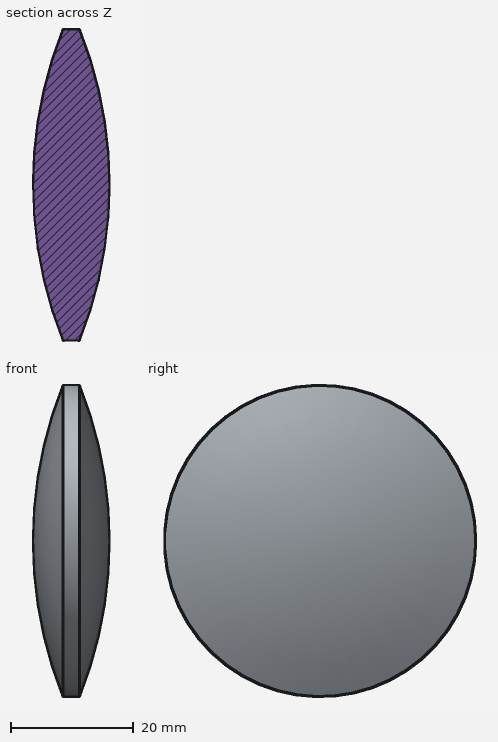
import cadquery as cq

diameter = 50.8
center_thickness = 12.5
edge_thickness = 2.5
bevel = 0.15

rim_radius = diameter / 2
half_center = center_thickness / 2
half_edge = edge_thickness / 2
face_radius = rim_radius - bevel
half_face = half_edge + bevel

sagitta = half_center - half_face
sphere_radius = (face_radius**2 + sagitta**2) / (2 * sagitta)
mid_height = face_radius / 2
mid_x = half_center - sphere_radius + (sphere_radius**2 - mid_height**2) ** 0.5

half_section = (
    cq.Workplane("XY")
    .moveTo(-half_center, 0)
    .threePointArc((-mid_x, mid_height), (-half_face, face_radius))
    .lineTo(-half_edge, rim_radius)
    .lineTo(half_edge, rim_radius)
    .lineTo(half_face, face_radius)
    .threePointArc((mid_x, mid_height), (half_center, 0))
    .close()
)

result = half_section.revolve(360, (0, 0, 0), (1, 0, 0))